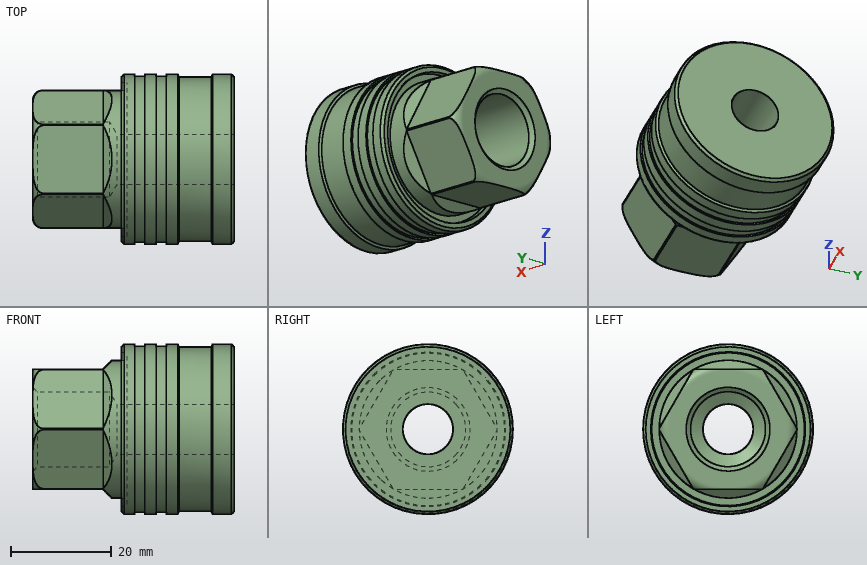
import cadquery as cq
import math

length = 40.25
sleeve_diameter = 34.0
sleeve_radius = sleeve_diameter / 2
across_flats = 24.0
neck_radius = 13.75

hex_length = 14.05
hex_end_round = 2.0
flat_radius = across_flats / 2
corner_radius = flat_radius / math.cos(math.pi / 6)

sleeve_start = 17.7
sleeve_edge = 0.55
recess_radius = 15.45
recess_floor_radius = 15.25
recess_depth = 1.05
groove_depth = 0.4
groove_clearance = 0.4
grooves = [(20.35, 22.38), (24.65, 26.7)]
waist_depth = 0.55
waist_chamfer = 0.3
waist_start = 28.95
waist_end = 35.95

through_radius = 5.0
socket_radius = 7.5
socket_chamfer = 0.9
socket_depth = 15.3
drill_half_angle = math.radians(59)


def revolve_profile(points):
    """Turn a closed outline of (X, radius) points about the X axis."""
    return cq.Workplane("XY").polyline(points).close().revolve(360, (0, 0, 0), (1, 0, 0))


def cylinder(start, end, radius):
    return cq.Workplane("YZ", origin=(start, 0, 0)).circle(radius).extrude(end - start)


def hexagon(start):
    """Hexagon sketch with two flats facing +Z and -Z."""
    return cq.Workplane("YZ", origin=(start, 0, 0)).polygon(6, 2 * corner_radius)


def make_hex_neck():
    """Hexagon with 45 degree shoulders, trimmed by a round-ended cylinder."""
    flare_length = corner_radius - flat_radius
    straight = hexagon(0).extrude(hex_length)
    flare = hexagon(hex_length).extrude(flare_length, taper=-45)
    neck = cylinder(hex_length + flare_length, sleeve_start + recess_depth, neck_radius)
    envelope = cylinder(0, sleeve_start + recess_depth, neck_radius).faces("<X").edges().fillet(hex_end_round)
    return straight.union(flare).union(neck).intersect(envelope)


def make_sleeve():
    """Grooved sleeve with chamfered ends and a shallow recess around the neck."""
    sleeve = cylinder(sleeve_start, length, sleeve_radius).faces("<X or >X").edges().chamfer(sleeve_edge)
    recess = revolve_profile([
        (sleeve_start, 0),
        (sleeve_start, recess_radius),
        (sleeve_start + recess_depth, recess_floor_radius),
        (sleeve_start + recess_depth, 0),
    ])
    sleeve = sleeve.cut(recess)
    for start, end in grooves:
        ring = cylinder(start, end, sleeve_radius + groove_clearance)
        ring = ring.cut(cylinder(start, end, sleeve_radius - groove_depth))
        sleeve = sleeve.cut(ring)
    waist_radius = sleeve_radius - waist_depth
    waist = revolve_profile([
        (waist_start, sleeve_radius),
        (waist_start + waist_chamfer, waist_radius),
        (waist_end - waist_chamfer, waist_radius),
        (waist_end, sleeve_radius),
    ])
    return sleeve.cut(waist)


def make_bore():
    """Chamfered socket with a drill-point floor, opening into the through hole."""
    cone_length = (socket_radius - through_radius) / math.tan(drill_half_angle)
    return revolve_profile([
        (0, 0),
        (0, socket_radius + socket_chamfer),
        (socket_chamfer, socket_radius),
        (socket_depth, socket_radius),
        (socket_depth + cone_length, through_radius),
        (length, through_radius),
        (length, 0),
    ])


result = make_hex_neck().union(make_sleeve()).cut(make_bore())